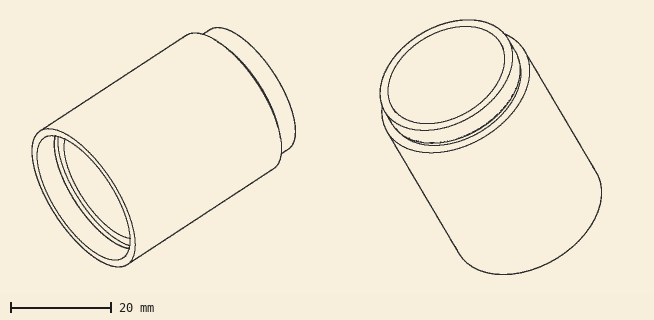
import cadquery as cq

length = 43.1
body_diameter = 31.7
bore_diameter = 24.95
spigot_diameter = 28.4
neck_diameter = 27.95
spigot_length = 4.0
neck_length = 1.0
socket_diameter = 28.5
socket_depth = 5.5
socket_groove_diameter = 28.7
socket_groove_width = 1.0

front = -length / 2
back = length / 2
spigot_start = back - spigot_length
shoulder = spigot_start - neck_length
socket_floor = front + socket_depth


def cylinder(diameter, start, end):
    """Solid cylinder on the Y axis from start to end."""
    plane = cq.Plane(origin=(0, start, 0), xDir=(1, 0, 0), normal=(0, 1, 0))
    return cq.Workplane(plane).circle(diameter / 2).extrude(end - start)


outside = cylinder(body_diameter, front, shoulder)
outside = outside.union(cylinder(neck_diameter, shoulder, spigot_start))
outside = outside.union(cylinder(spigot_diameter, spigot_start, back))

bore = cylinder(bore_diameter, front, back)
socket = cylinder(socket_diameter, front, socket_floor)
relief_groove = cylinder(socket_groove_diameter, socket_floor - socket_groove_width, socket_floor)

result = outside.cut(bore).cut(socket).cut(relief_groove)